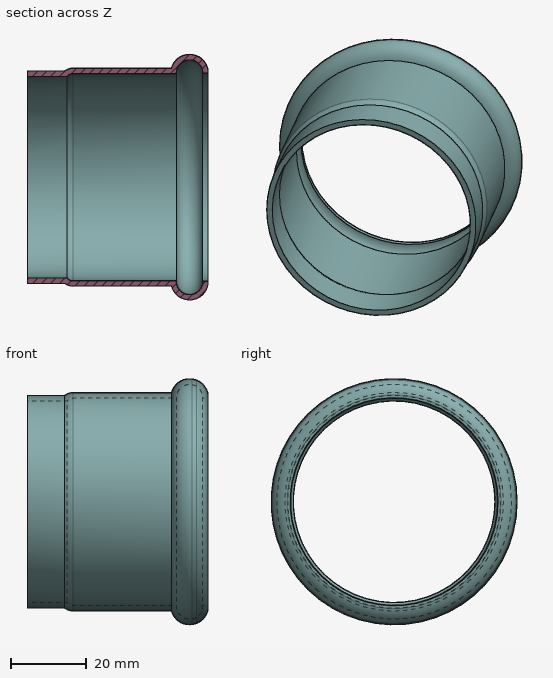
import cadquery as cq
import math


overall_length = 47.6
wall = 1.5

spigot_outer_radius = 56.0 / 2
body_outer_radius = 57.5 / 2
spigot_inner_radius = spigot_outer_radius - wall
body_inner_radius = body_outer_radius - wall

shoulder_start = 9.85
shoulder_end = 12.0
shoulder_length = shoulder_end - shoulder_start
shoulder_rise = body_outer_radius - spigot_outer_radius
shoulder_radius = (shoulder_length**2 + shoulder_rise**2) / (2 * shoulder_rise)
shoulder_center_radius = body_outer_radius - shoulder_radius

bead_outer_diameter = 64.76
bead_section_radius = 4.95
bead_groove_radius = bead_section_radius - wall
bead_center_to_end = 4.9
bead_center_x = overall_length - bead_center_to_end
bead_center_radius = bead_outer_diameter / 2 - bead_section_radius
mouth_radius = 54.7 / 2

band_start = 43.4
band_end = 44.5


def half_chord(circle_radius, offset):
    """Half-chord of a circle at the given offset from its centre."""
    return math.sqrt(circle_radius**2 - offset**2)


def point_between(center, start, end):
    """Point halfway along the shorter arc from start to end about center."""
    arc_radius = math.dist(center, start)
    toward_x = start[0] + end[0] - 2 * center[0]
    toward_r = start[1] + end[1] - 2 * center[1]
    reach = arc_radius / math.hypot(toward_x, toward_r)
    return (center[0] + toward_x * reach, center[1] + toward_r * reach)


def shoulder_foot(arc_radius, spigot_radius):
    """Point where a shoulder arc meets the spigot surface."""
    run = half_chord(arc_radius, spigot_radius - shoulder_center_radius)
    return (shoulder_end - run, spigot_radius)


def bead_foot(arc_radius, body_radius):
    """Point where a bead arc meets the body surface on the -X side."""
    run = half_chord(arc_radius, body_radius - bead_center_radius)
    return (bead_center_x - run, body_radius)


def bead_surface(x):
    """Point on the outer bead circle at axial position x."""
    return (x, bead_center_radius + half_chord(bead_section_radius, x - bead_center_x))


def outer_profile(sketch):
    """Draw the outside from the -X end to the mouth of the bead."""
    shoulder_center = (shoulder_end, shoulder_center_radius)
    shoulder_bottom = shoulder_foot(shoulder_radius, spigot_outer_radius)
    shoulder_top = (shoulder_end, body_outer_radius)
    bead_center = (bead_center_x, bead_center_radius)
    bead_start = bead_foot(bead_section_radius, body_outer_radius)
    crest_end = bead_surface(band_start)
    nose_start = bead_surface(band_end)
    nose_end = bead_surface(overall_length)
    return (
        sketch.moveTo(0, spigot_inner_radius)
        .lineTo(0, spigot_outer_radius)
        .lineTo(*shoulder_bottom)
        .threePointArc(point_between(shoulder_center, shoulder_bottom, shoulder_top), shoulder_top)
        .lineTo(*bead_start)
        .threePointArc(point_between(bead_center, bead_start, crest_end), crest_end)
        .lineTo(*nose_start)
        .threePointArc(point_between(bead_center, nose_start, nose_end), nose_end)
        .lineTo(overall_length, mouth_radius)
    )


def inner_profile(sketch):
    """Draw the inside back from the mouth, one wall thickness in, and close the section."""
    shoulder_center = (shoulder_end, shoulder_center_radius)
    shoulder_top = (shoulder_end, body_inner_radius)
    shoulder_bottom = shoulder_foot(shoulder_radius - wall, spigot_inner_radius)
    groove_side = (bead_center_x + bead_groove_radius, bead_center_radius)
    groove_crest = (bead_center_x, bead_center_radius + bead_groove_radius)
    return (
        sketch.lineTo(groove_side[0], mouth_radius)
        .lineTo(*groove_side)
        .threePointArc(groove_crest, bead_foot(bead_groove_radius, body_inner_radius))
        .lineTo(*shoulder_top)
        .threePointArc(point_between(shoulder_center, shoulder_top, shoulder_bottom), shoulder_bottom)
        .close()
    )


section = inner_profile(outer_profile(cq.Workplane("XY")))
result = section.revolve(360, (0, 0, 0), (1, 0, 0))